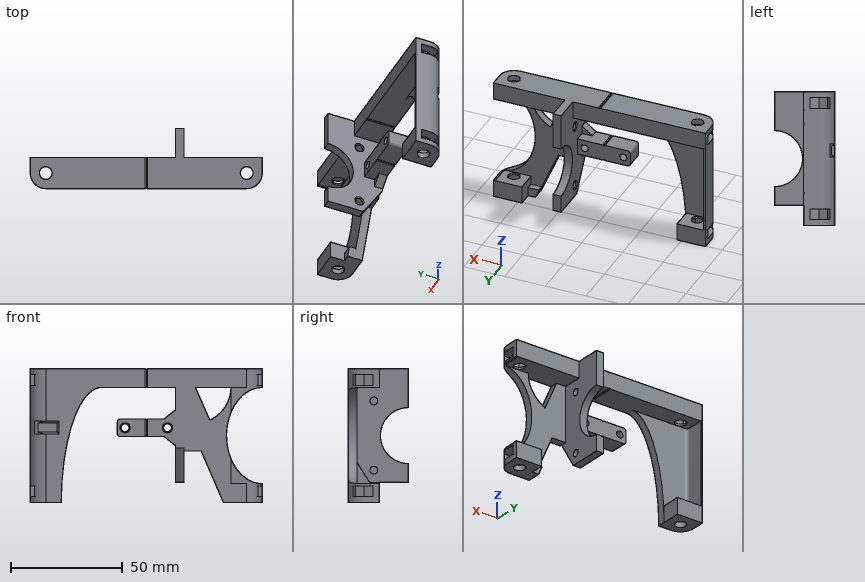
import cadquery as cq
import math

length = 104.0
height = 60.0
depth = 14.0
rail = 8.5
web = 4.0
front = -0.04
bar_bottom = height - rail
mid_height = height / 2
mid_length = length / 2

rod_inset = depth / 2
rod_diameter = 5.6
column_wall = 0.9
hollow_corner = 1.5
right_column_start = length - depth

arch_width = 18.0
bay_radius_x = 16.0
bay_radius_z = mid_height - rail

plate_x = 65.0
plate_thickness = 4.0
plate_back = 27.0
plate_bottom = 9.0
slope_top_z = 24.5
slope_back_y = 9.6
motor_bore = 25.0
motor_hole_pitch = 31.0

arm_start = 39.0
arm_height = 8.0
arm_depth = 9.0
arm_axis_z = 33.5
arm_bottom = arm_axis_z - arm_height / 2
arm_top = arm_axis_z + arm_height / 2
arm_corner = 1.5
arm_hole_pitch = 19.0
gusset_start = 60.0
gusset_rise = 4.0

screw_diameter = 3.5
mouth_diameter = 4.5

web_bottom = 23.0
leg_top_x = 76.6
leg_foot_x = 86.5
toe_depth = 7.2
toe_height = rail / 2

window_left = 74.1
window_tip = (80.5, 37.0)
window_arc_middle = (86.6, 41.9)
window_right = 89.9

score_width = 1.0
score_depth = 0.3

tie_lift = 2.75
tie_height = 4.75
tie_front = 2.2
tie_back = 11.2
tie_inner_wall = [(5.3, tie_front), (9.6, 3.2), (12.0, rod_inset), (11.0, tie_back)]

recess_z = 33.6
recess_height = 5.7
recess_left = 2.0
recess_right = 13.0
recess_taper = 0.9
recess_left_y = 2.1
floor_left = 3.5
floor_depth = 1.5
ramp_end = 6.0


def block(x0, x1, y0, y1, z0, z1):
    return cq.Workplane("XY", origin=(x0, y0, z0)).box(x1 - x0, y1 - y0, z1 - z0, centered=False)


def from_front():
    """XZ workplane on the main front face; extrude by a negative length to go back."""
    return cq.Workplane("XZ", origin=(0, front, 0))


def mirrored_to_right(shape):
    return shape.mirror("YZ").translate((length, 0, 0))


def rod_column():
    """Left column: rounded outer front corner, hollow behind the web between the end blocks."""
    column = block(0, depth, 0, depth, 0, height).edges("|Z and <X and <Y").fillet(rod_inset)
    hollow = block(column_wall, depth, web, depth, rail, bar_bottom)
    return column.cut(hollow.edges("|Z and <X and <Y").fillet(hollow_corner))


def left_web():
    outline = (
        from_front().moveTo(rod_inset, 0).lineTo(depth, 0)
        .ellipseArc(arch_width, bar_bottom, 90, 180, startAtCurrent=True, sense=-1)
        .lineTo(rod_inset, bar_bottom).close()
    )
    return outline.extrude(front - web)


def right_web():
    plate_end = plate_x + plate_thickness
    round_start = length - rod_inset
    outline = (
        from_front().moveTo(plate_x, slope_top_z).lineTo(plate_end, slope_top_z)
        .lineTo(plate_end, web_bottom).lineTo(leg_top_x, web_bottom).lineTo(leg_foot_x, 0)
        .lineTo(round_start, 0).lineTo(round_start, rail)
        .lineTo(right_column_start, rail).lineTo(right_column_start, bar_bottom)
        .lineTo(plate_x, bar_bottom).close()
    )
    return outline.extrude(front - web)


def leg_toe():
    """Thicker foot of the right leg, in front of the rod block and flush with the leg's slope."""
    toe_top_x = leg_foot_x - (leg_foot_x - leg_top_x) * toe_height / web_bottom
    outline = (
        from_front().moveTo(leg_foot_x, 0).lineTo(toe_top_x, toe_height)
        .lineTo(right_column_start, toe_height).lineTo(right_column_start, 0).close()
    )
    return outline.extrude(front - toe_depth)


def window():
    outline = (
        from_front().moveTo(window_left, bar_bottom).lineTo(*window_tip)
        .threePointArc(window_arc_middle, (window_right, bar_bottom)).close()
    )
    return outline.extrude(front - web)


def bay():
    return from_front().center(length, mid_height).ellipse(bay_radius_x, bay_radius_z).extrude(front - depth)


def motor_plate():
    side = cq.Workplane("YZ", origin=(plate_x, 0, 0))
    outline = [
        (front, height),
        (plate_back, height),
        (plate_back, plate_bottom),
        (slope_back_y, plate_bottom),
        (front, slope_top_z),
    ]
    plate = side.polyline(outline).close().extrude(plate_thickness)
    return plate.cut(side.center(plate_back, mid_height).circle(motor_bore / 2).extrude(plate_thickness))


def sensor_arm():
    beam = block(arm_start, plate_x, front, arm_depth, arm_bottom, arm_top)
    beam = beam.edges("|Y and <X").fillet(arm_corner)
    gusset = [
        (gusset_start, arm_bottom),
        (plate_x, arm_bottom - gusset_rise),
        (plate_x, arm_top + gusset_rise),
        (gusset_start, arm_top),
    ]
    return beam.union(from_front().polyline(gusset).close().extrude(front - web))


def screw_hole(plane, start, run):
    """Through hole of signed length run, with a 45 degree flare at its start."""
    flare = math.copysign((mouth_diameter - screw_diameter) / 2, run)
    face = cq.Workplane(plane, origin=start)
    hole = face.circle(screw_diameter / 2).extrude(run)
    mouth = face.circle(mouth_diameter / 2).workplane(offset=flare).circle(screw_diameter / 2).loft()
    return hole.union(mouth)


def score(z0, z1, back):
    """V groove across the bottom, front and top of a beam at mid length."""
    left = mid_length - score_width / 2
    right = mid_length + score_width / 2

    def v_points(edge, inward):
        return [(left, edge), (right, edge), (mid_length, edge + inward * score_depth)]

    top = from_front().polyline(v_points(z1, -1)).close().extrude(front - back)
    bottom = from_front().polyline(v_points(z0, 1)).close().extrude(front - back)
    face = cq.Workplane("XY", origin=(0, 0, z0)).polyline(v_points(front, 1)).close().extrude(z1 - z0)
    return top.union(bottom).union(face)


def tie_slot(z0):
    outline = [(0, tie_front)] + tie_inner_wall + [(0, tie_back)]
    return cq.Workplane("XY", origin=(0, 0, z0)).polyline(outline).close().extrude(tie_height)


def recess():
    """Tapered pocket with a flat floor and a ramp running out onto the corner round."""
    floor_right = recess_right - recess_taper
    floor_height = recess_height - 2 * recess_taper
    pocket = (
        cq.Workplane("XZ", origin=((floor_left + recess_right) / 2, front, recess_z))
        .rect(recess_right - floor_left, recess_height)
        .workplane(offset=front - floor_depth)
        .center(-recess_taper / 2, 0)
        .rect(floor_right - floor_left, floor_height)
        .loft(ruled=True)
    )
    ramp_outline = [
        (recess_left, front),
        (recess_left, recess_left_y),
        (floor_left, floor_depth),
        (ramp_end, front),
    ]
    ramp_base = cq.Workplane("XY", origin=(0, 0, recess_z - recess_height / 2))
    return pocket.union(ramp_base.polyline(ramp_outline).close().extrude(recess_height))


body = rod_column().union(mirrored_to_right(rod_column())).union(right_web().cut(window()))
body = body.cut(bay())
body = body.union(block(rod_inset, length - rod_inset, front, depth, bar_bottom, height))
body = body.union(left_web()).union(leg_toe()).union(motor_plate()).union(sensor_arm())

rod_hole = cq.Workplane("XY").center(rod_inset, rod_inset).circle(rod_diameter / 2).extrude(height)
body = body.cut(rod_hole).cut(mirrored_to_right(rod_hole))
for slot_z in (tie_lift, height - tie_lift - tie_height):
    slot = tie_slot(slot_z)
    body = body.cut(slot).cut(mirrored_to_right(slot))

for side in (-1, 1):
    arm_hole_x = mid_length + side * arm_hole_pitch / 2
    body = body.cut(screw_hole("XZ", (arm_hole_x, front, arm_axis_z), front - depth))
    motor_hole_y = plate_back - motor_hole_pitch / 2
    motor_hole_z = mid_height + side * motor_hole_pitch / 2
    body = body.cut(screw_hole("YZ", (plate_x, motor_hole_y, motor_hole_z), plate_thickness))

body = body.cut(score(bar_bottom, height, depth)).cut(score(arm_bottom, arm_top, arm_depth))
result = body.cut(recess())